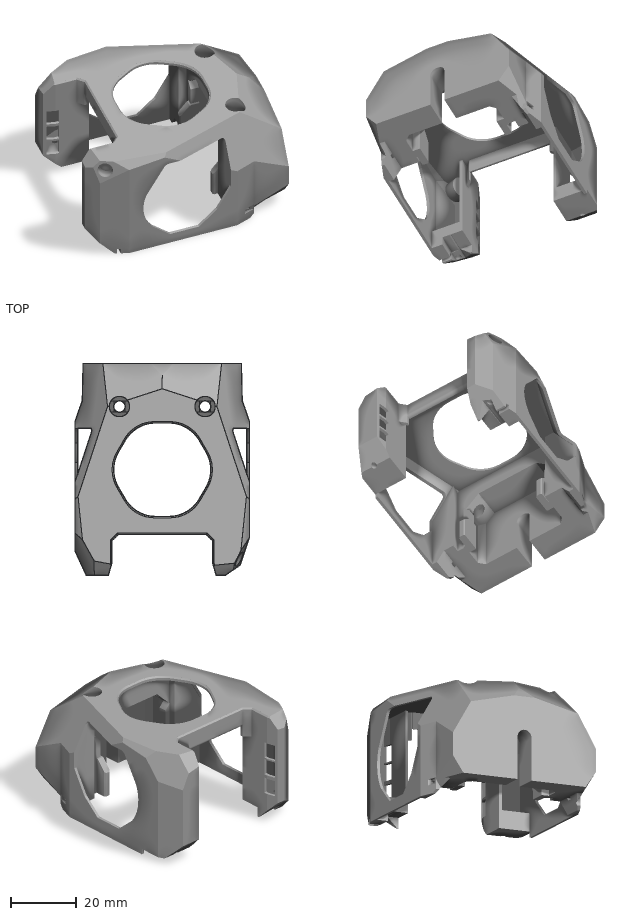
import cadquery as cq
import math

width = 53.0
length = 64.35
height = 36.5
half_width = width / 2
wall = 0.9
top_thickness = 1.3
edge_break = 0.45
break_chamfer = edge_break - 0.005
margin = 6.45
far = 193.05

nose_y = 7.4
shoulder_y = 52.95
widest_y = 46.65
pillar_front = 44.7
bulkhead_front = 47.25
pocket_back = 56.0

opening_half = 15.3
opening_mouth_half = 16.35
opening_mouth_depth = 3.55
opening_back = 12.35
opening_corner = 1.9
corner_x = opening_half - opening_corner
corner_start = opening_back - opening_corner
lip_bottom = 30.0
lip_thickness = 1.15
lip_radius = 1.1
corner_panel_bottom = 26.65

leg_wall_back = 14.55
leg_wall_bottom = 3.2
duct_floor = 7.6
left_leg_bottom = 1.85
toe_back = 7.9
toe_gap_back = 9.1
right_notch_outer = 22.1
pin_diameter = 1.8
pin_x, pin_y = 21.0, 5.55
vent_front, vent_back = 0.9, 4.8
vent_height = 5.3
vent_tops = {-1: (25.4, 19.2, 13.1), 1: (27.0, 21.25, 14.8)}

lamp_centre = cq.Vector(23.4, 4.9, 33.45)
lamp_direction = cq.Vector(-0.87, 0.43, -0.23)
lamp_diameter = 4.7
lamp_depth = 3.85

fan_y = 32.05
fan_apothem = 14.15
fan_corner_radius = 10.6

window_top = 32.45
window_back = 44.6
window_corner = 1.3
right_window_drop = 1.3
window_lean = 0.6

rear_floor = 4.0
rear_floor_start = 56.75
rear_slope_start = 51.5
rail_inner = 23.95
rail_slope = 2.6
left_recess_x = 18.0
pocket_half = opening_half
pocket_corner = 1.8
pocket_roof = 28.4
pocket_roof_half = 10.4
pocket_shoulder = pocket_roof - (pocket_half - pocket_roof_half)
slot_diameter = 4.7
slot_centre = 17.3
post_inner, post_outer = 13.6, 15.75
post_front, post_back = 46.85, 49.55
post_top = 21.6
clip_inner, clip_outer = 12.9, 15.05
clip_front, clip_ramp_back = 43.1, 46.3
clip_ramp_bottom, clip_top = 12.1, 15.8
clip_chamfer = 0.4

screw_x, screw_y = 13.0, 51.2
screw_diameter = 3.4
head_diameter = 6.2
head_floor = 29.6
bridge_step = 0.3
cable_front, cable_back = 49.6, 52.7
cable_bottom, cable_top = 2.8, 4.7
cable_recess_x = 24.2
cable_hole_back = 51.5
cable_hole_bottom, cable_hole_top = 3.2, 4.0

SIDE_FACET = [(-half_width, 23.1, 35.3), (-half_width, widest_y, 22.1), (-16.6, 51.2, height)]
BROW_SIDE_FACET = [(-half_width, 23.1, 35.3), (-half_width, 12.55, 34.1), (-24.2, 10.6, height)]
REAR_ROOF_FACET = [(-16.6, 51.2, height), (0, 56.6, height), (-17.75, length, 26.7)]
REAR_UNDER_FACET = [(-24.05, length, 9.1), (-24.3, shoulder_y, 4.05), (-20.6, length, rear_floor)]
REAR_CENTRE_FACET = [(-3.9, length, 30.05), (3.9, length, 30.05), (0, 60.7, 33.5)]
LEFT_CORNER_FACET = [(-23.1, 0, 26.8), (-half_width, nose_y, 28.1), (-20.65, 4.3, height)]
LEFT_BROW_FACET = [(-20.65, 4.3, height), (-20.65, 0, 31.7), (-16.35, 3.55, height)]
RIGHT_CORNER_FACET = [(23.7, 3.1, 28.8), (half_width, 11.5, 34.05), (22.1, 3.85, height)]
RIGHT_BROW_FACET = [(16.35, 3.1, height), (16.5, 0, 32.9), (19.2, 0, 32.55)]
TOE_FACET = [(-6.45, 0, 7.35), (6.45, 0, 7.35), (0, 7.35, 0)]
INSIDE_POINT = cq.Vector(0, 32.2, 16.1)


def mirrored(points):
    return [(-x, y, z) for x, y, z in points]


UNDER_FACETS = [REAR_UNDER_FACET, mirrored(REAR_UNDER_FACET)]
SKIN_FACETS = [
    SIDE_FACET, mirrored(SIDE_FACET),
    BROW_SIDE_FACET, mirrored(BROW_SIDE_FACET), REAR_ROOF_FACET, mirrored(REAR_ROOF_FACET),
    REAR_CENTRE_FACET, LEFT_CORNER_FACET, LEFT_BROW_FACET,
    RIGHT_CORNER_FACET, RIGHT_BROW_FACET, TOE_FACET,
]


def box(x0, x1, y0, y1, z0, z1):
    return cq.Workplane().box(x1 - x0, y1 - y0, z1 - z0, centered=False).translate((x0, y0, z0))


def side_box(side, near, reach, y0, y1, z0, z1):
    """Box from near to reach on the left (side -1) or the right (side 1)."""
    x0, x1 = sorted((side * near, side * reach))
    return box(x0, x1, y0, y1, z0, z1)


def across(y_z_points):
    """Prism with a YZ outline through the whole width."""
    return cq.Workplane("YZ").polyline(y_z_points).close().extrude(far, both=True)


def along(x_z_points, y0, y1):
    """Prism with an XZ outline from y0 to y1."""
    return cq.Workplane("XZ", origin=(0, y0, 0)).polyline(x_z_points).close().extrude(y0 - y1)


def beyond(facet, inset):
    """Block covering everything outside the facet moved inward by inset."""
    a, b, c = [cq.Vector(*point) for point in facet]
    normal = (b - a).cross(c - a).normalized()
    if normal.dot(a - INSIDE_POINT) < 0:
        normal = normal * -1
    plane = cq.Plane(origin=(a - normal * inset).toTuple(), normal=normal.toTuple())
    return cq.Workplane(plane).rect(far, far).extrude(far / 2)


def faceted(body, inset):
    for facet in SKIN_FACETS:
        body = body.cut(beyond(facet, inset))
    return body


def plan():
    outline = [
        (-24.05, length), (-24.3, shoulder_y), (-half_width, widest_y), (-half_width, nose_y), (-23.1, 0),
        (19.2, 0), (23.7, 3.1), (half_width, 11.5), (half_width, widest_y), (24.3, shoulder_y),
        (24.05, length),
    ]
    return cq.Workplane().polyline(outline).close()


def outer_skin():
    skin = faceted(plan().extrude(height), 0)
    behind_shoulder = box(-far, far, shoulder_y, far, 0, height)
    for facet in UNDER_FACETS:
        skin = skin.cut(beyond(facet, 0).intersect(behind_shoulder))
    return skin


def front_prism(grow, z0, z1):
    """Mouth between the legs, enlarged by grow on all sides."""
    half = opening_half + grow
    mouth = opening_mouth_half + grow
    back = opening_back + grow
    corner = opening_corner + grow * (2 - math.sqrt(2))
    right = [(half - corner, back), (half, back - corner), (half, opening_mouth_depth),
             (mouth, 0), (mouth, -margin)]
    outline = right + [(-x, y) for x, y in reversed(right)]
    return cq.Workplane(origin=(0, 0, z0)).polyline(outline).close().extrude(z1 - z0)


def opening_rim():
    rim = front_prism(wall, leg_wall_bottom, height)
    rim = rim.cut(box(-far, far, corner_start, far, 0, corner_panel_bottom))
    rim = rim.cut(box(-corner_x, corner_x, corner_start, far, 0, lip_bottom))
    lip_back = opening_back + lip_thickness
    rim = rim.union(box(-corner_x, corner_x, opening_back, lip_back, lip_bottom, height))
    for side in (-1, 1):
        rim = rim.union(side_box(side, opening_half, opening_half + wall, 0, leg_wall_back,
                                 leg_wall_bottom, height))
        rim = rim.union(side_box(side, opening_half, far, 0, leg_wall_back, 0, duct_floor))
    return rim


def lip_rounding():
    """Waste below the rounded lower front edge of the lip."""
    y, z = opening_back + lip_radius, lip_bottom + lip_radius
    corner = box(-corner_x, corner_x, opening_back, y, lip_bottom, z)
    rod = cq.Workplane("YZ", origin=(-corner_x, y, z)).circle(lip_radius).extrude(2 * corner_x)
    return corner.cut(rod)


def top_bevel(tool):
    return tool.faces("<Z").edges().chamfer(break_chamfer)


def lamp_cylinder(diameter, depth):
    start = lamp_centre - lamp_direction * margin
    plane = cq.Plane(origin=start.toTuple(), normal=lamp_direction.toTuple())
    return cq.Workplane(plane).circle(diameter / 2).extrude(depth + margin)


def hollow():
    inner_plan = plan().offset2D(-wall, "intersection")
    cavity = faceted(inner_plan.extrude(height - top_thickness), wall)
    reach = box(-far, far, 0, pillar_front, 0, height)
    reach = reach.union(box(-left_recess_x, opening_half, 0, bulkhead_front, 0, height))
    cavity = cavity.intersect(reach)
    cavity = cavity.cut(opening_rim())
    return cavity.cut(lamp_cylinder(lamp_diameter + 2 * wall, lamp_depth + wall))


def fan_hole(apothem, z0, z1):
    hexagon = cq.Workplane(origin=(0, fan_y, z0)).polygon(6, 2 * apothem / math.cos(math.pi / 6))
    return hexagon.extrude(z1 - z0).edges("|Z").fillet(fan_corner_radius)


def side_window(drop, reach):
    """Fan window of one side wall; drop lowers all of it but the top edge."""
    lean = window_lean * drop
    bend = window_corner * (1 - math.sqrt(0.5))
    return (
        cq.Workplane("YZ").moveTo(24.8, 4.75 - drop).lineTo(34.25, 4.75 - drop).lineTo(40.1, 9.9 - drop)
        .lineTo(window_back, 17.7 - drop).lineTo(window_back, window_top - window_corner)
        .threePointArc((window_back - bend, window_top - bend), (window_back - window_corner, window_top))
        .lineTo(24.1 + lean, window_top)
        .threePointArc((22.9 + lean, 32.2), (22.1 + lean, 31.4))
        .lineTo(17.1, 23.1 - drop).threePointArc((16.15, 17.4 - drop), (18.9, 9.9 - drop))
        .close().extrude(reach)
    )


def rear_pocket():
    right = [(pocket_roof_half, pocket_roof), (pocket_half, pocket_shoulder), (pocket_half, -margin)]
    outline = [(-x, z) for x, z in reversed(right)] + right
    return along(outline, pillar_front, pocket_back).edges("|Z and >Y").chamfer(pocket_corner)


def rear_underside():
    slope = across([(rear_slope_start, 0), (rear_floor_start, rear_floor), (length + margin, rear_floor),
                    (length + margin, -margin), (rear_slope_start, -margin)])
    rail_top = rail_inner - rail_slope
    trapezium = [(-rail_inner, 0), (-rail_top, rear_floor), (rail_top, rear_floor), (rail_inner, 0)]
    between_rails = along(trapezium, pillar_front, length + margin)
    return slope.union(between_rails)


def rear_slot():
    radius = slot_diameter / 2
    start = pocket_back - 0.65
    slot = box(-radius, radius, start, length + margin, 0, slot_centre)
    arch = cq.Workplane("XZ", origin=(0, start, slot_centre)).circle(radius).extrude(start - length - margin)
    return slot.union(arch)


def post_and_clip(side):
    """Post in the pocket corner and the ramped clip standing in front of it."""
    outline = [(post_inner, rear_floor), (post_inner, post_top), (pocket_half, pocket_shoulder),
               (post_outer, pocket_shoulder), (post_outer, rear_floor)]
    post = along([(side * x, z) for x, z in outline], post_front, post_back)
    ramp = [(clip_front, rear_floor), (clip_front, clip_ramp_bottom), (clip_ramp_back, clip_top),
            (post_back, clip_top), (post_back, rear_floor)]
    left = min(side * clip_inner, side * clip_outer)
    clip = cq.Workplane("YZ", origin=(left, 0, 0)).polyline(ramp).close().extrude(clip_outer - clip_inner)
    return post.union(clip.edges("|Z and <Y").chamfer(clip_chamfer))


def screw_hole(x):
    """Counterbored hole with two stepped bridging layers below the head."""
    through = cq.Workplane(origin=(x, screw_y, 0)).circle(screw_diameter / 2).extrude(height)
    head = cq.Workplane(origin=(x, screw_y, head_floor)).circle(head_diameter / 2).extrude(height)
    disc = head.translate((0, 0, -bridge_step))
    band = cq.Workplane(origin=(x, screw_y, head_floor - bridge_step)).rect(head_diameter, screw_diameter)
    square = cq.Workplane(origin=(x, screw_y, head_floor - 2 * bridge_step))
    square = square.rect(screw_diameter, screw_diameter)
    hole = through.union(head).union(band.extrude(bridge_step).intersect(disc))
    return hole.union(square.extrude(2 * bridge_step))


def cable_slots():
    slots = box(-far, far, cable_front, cable_hole_back, cable_hole_bottom, cable_hole_top)
    for side in (-1, 1):
        slots = slots.union(side_box(side, cable_recess_x, far, cable_front, cable_back,
                                     cable_bottom, cable_top))
    return slots


def leg_undercuts():
    left = side_box(-1, corner_x, far, -margin, leg_wall_back, -margin, left_leg_bottom)
    wedge = along([(15.95, 0), (19.3, 3.35), (right_notch_outer, 2.6), (right_notch_outer, 0)],
                  0, leg_wall_back)
    behind_toe = box(corner_x, right_notch_outer, toe_back, leg_wall_back, -margin, leg_wall_bottom)
    toe_gap = box(right_notch_outer, far, toe_back, toe_gap_back, -margin, left_leg_bottom)
    return left.union(wedge).union(behind_toe).union(toe_gap)


body = outer_skin().cut(hollow())
body = body.cut(front_prism(0, -margin, height + margin))
body = body.cut(top_bevel(front_prism(edge_break, height - edge_break, height)))
body = body.cut(lip_rounding())
body = body.cut(fan_hole(fan_apothem, lip_bottom, height + margin))
body = body.cut(top_bevel(fan_hole(fan_apothem + edge_break, height - edge_break, height)))
body = body.cut(side_window(0, -far)).cut(side_window(right_window_drop, far))

body = body.cut(rear_pocket()).cut(rear_underside()).cut(rear_slot())
for side in (-1, 1):
    body = body.union(post_and_clip(side))
    body = body.cut(screw_hole(side * screw_x))
body = body.cut(cable_slots())

body = body.cut(leg_undercuts())
body = body.cut(lamp_cylinder(lamp_diameter, lamp_depth))
for side in (-1, 1):
    pin_hole = cq.Workplane(origin=(side * pin_x, pin_y, 0)).circle(pin_diameter / 2)
    body = body.cut(pin_hole.extrude(duct_floor))
    for top in vent_tops[side]:
        body = body.cut(side_box(side, opening_half - wall, opening_half + 2 * wall,
                                 vent_front, vent_back, top - vent_height, top))

result = body